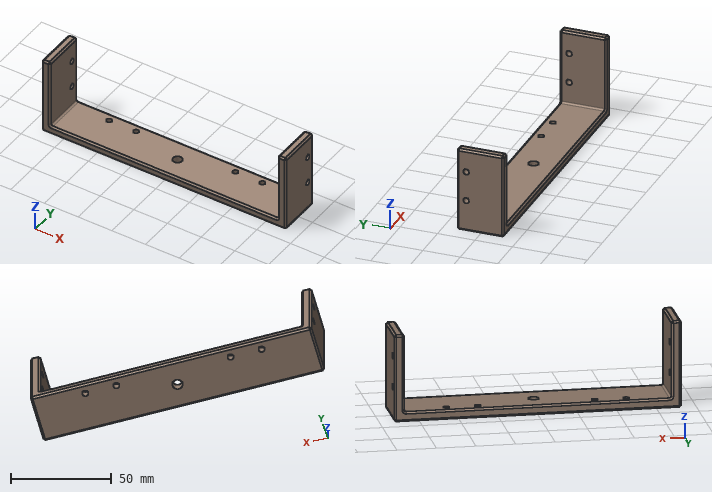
import cadquery as cq

LENGTH = 145.0
WIDTH = 25.0
HEIGHT = 45.0
THICKNESS = 5.0
EDGE_CHAMFER = 1.0
INNER_FILLET = 1.0

MOUNT_HOLE_DIAMETER = 3.0
MOUNT_HOLE_SPACING = 16.0
MOUNT_HOLE_EDGE_DISTANCE = 5.0
MOUNT_HOLE_Y = WIDTH / 2 - MOUNT_HOLE_EDGE_DISTANCE
BASE_PAIR_CENTER_X = 37.5
WALL_PAIR_CENTER_Z = 25.0

CENTER_HOLE_DIAMETER = 5.12


def pair_positions(center):
    """Positions of two holes spaced evenly about a center."""
    return [center - MOUNT_HOLE_SPACING / 2, center + MOUNT_HOLE_SPACING / 2]


def make_bracket():
    """U channel, base on Z = 0, with rounded inner corners and chamfered edges."""
    block = cq.Workplane("XY").box(LENGTH, WIDTH, HEIGHT, centered=(True, True, False))
    opening = (
        cq.Workplane("XY")
        .workplane(offset=THICKNESS)
        .box(LENGTH - 2 * THICKNESS, WIDTH, HEIGHT, centered=(True, True, False))
    )
    channel = block.cut(opening)
    inner_corners = channel.faces(cq.selectors.NearestToPointSelector((0, 0, THICKNESS))).edges("|Y")
    rounded = inner_corners.fillet(INNER_FILLET)
    return rounded.faces("<Y or >Y or <X or >X or >Z").edges().chamfer(EDGE_CHAMFER)


def make_base_holes():
    """Vertical cutters: two mirrored pairs and the central hole."""
    mount_points = [
        (x, MOUNT_HOLE_Y)
        for pair_center in (-BASE_PAIR_CENTER_X, BASE_PAIR_CENTER_X)
        for x in pair_positions(pair_center)
    ]
    base = cq.Workplane("XY")
    mount_holes = base.pushPoints(mount_points).circle(MOUNT_HOLE_DIAMETER / 2).extrude(THICKNESS)
    center_hole = base.circle(CENTER_HOLE_DIAMETER / 2).extrude(THICKNESS)
    return mount_holes.union(center_hole)


def make_wall_holes():
    """Cutters along X, passing through both upright walls."""
    points = [(MOUNT_HOLE_Y, z) for z in pair_positions(WALL_PAIR_CENTER_Z)]
    return (
        cq.Workplane("YZ")
        .pushPoints(points)
        .circle(MOUNT_HOLE_DIAMETER / 2)
        .extrude(LENGTH / 2, both=True)
    )


result = make_bracket().cut(make_base_holes()).cut(make_wall_holes())